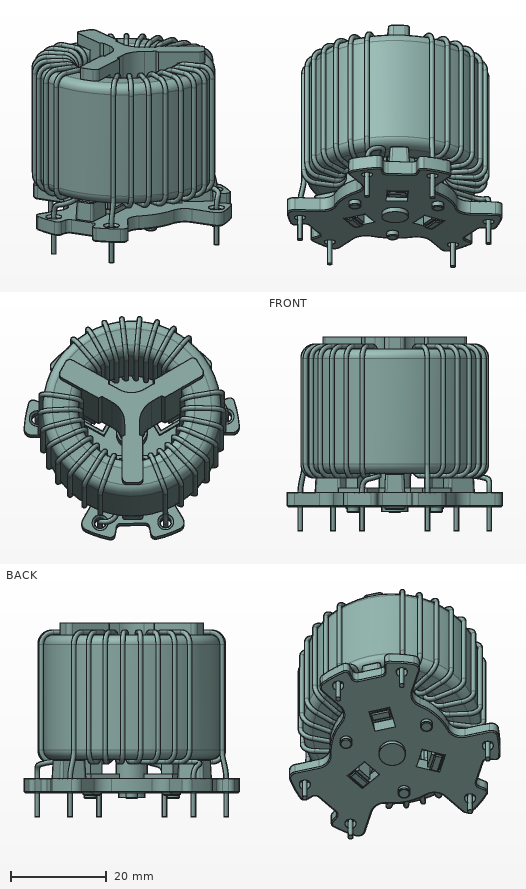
import cadquery as cq
import math

ARM_ANGLES = (30, 150, 270)
WINDING_ANGLES = (90, 210, 330)

core_od = 37.2
core_id = 22.35
core_bottom = 7.0
core_top = 33.0
core_fillet = 2.0

wire_d = 1.0
wire_gap = 0.01
turns = 8
turn_pitch = 11.2
lead_radius = 20.0
lead_offset = 40.0
lead_tip = -5.0
lead_bend_z = 3.0
exit_fraction = 0.75
exit_knee_radius = 19.8
exit_knee_angle = 45.0
exit_knee_z = 5.95

plate_t = 3.0
plate_chamfer = 0.25
hub_radius = 13.0
arm_edge = 19.0
tab_radius = 22.5
tab_half_angle = 10.0
tab_winding_corner_r = 1.5
tab_arm_corner_r = 1.0
winding_side_r = 3.0
arm_side_r = 1.0
lead_hole_d = 2.3
lead_sink_d = 3.3
lead_sink_angle = 90.0
foot_d = 2.5
foot_h = 1.15
foot_chamfer = 0.2
foot_radius = 10.0

rim_h = 1.0
rim_start = 4.8
rim_end = 11.7
rim_width = 6.6
rim_wall = 0.62
rim_end_wall = 0.35
slot_draft = 6.5
support_start = 12.05
support_end = 18.2
support_width = 4.2
support_draft = 2.5
support_edge_r = 0.5
support_top_chamfer = 0.2
collar_d = 6.5

divider_top = 35.5
web_half = 1.525
arm_half = 2.18
arm_end = 16.5
arm_corner_r = 1.0
step_start = 6.3
step_end = 6.75
blade_end = 10.8
hub_fillet = 5.2
post_d = 5.5
post_out = 1.0
leg_start = 8.05
leg_width = 3.2
hook_start = 8.7
hook_end = 10.5
hook_width = 4.1
hook_depth = 0.55
hook_chamfer = 0.25


def polar(radius, angle, z=0.0):
    a = math.radians(angle)
    return cq.Vector(radius * math.cos(a), radius * math.sin(a), z)


def block(r_start, r_end, width, z_bottom, z_top):
    """Box along +X from r_start to r_end, centred on the XZ plane."""
    length = r_end - r_start
    return (
        cq.Workplane("XY", origin=(r_start + length / 2, 0, z_bottom))
        .box(length, width, z_top - z_bottom, centered=(True, True, False))
    )


def at_angles(shape, angles):
    """Union of copies of shape turned about the Z axis."""
    copies = cq.Workplane("XY")
    for angle in angles:
        copies = copies.union(shape.rotate((0, 0, 0), (0, 0, 1), angle))
    return copies


def make_core():
    return (
        cq.Workplane("XY", origin=(0, 0, core_bottom))
        .circle(core_od / 2)
        .circle(core_id / 2)
        .extrude(core_top - core_bottom)
        .faces("<Z or >Z")
        .edges()
        .fillet(core_fillet)
    )


def rounded_path(points, radius):
    """Edges of a polyline whose right-angled corners are rounded to the radius."""
    edges = []
    start = points[0]
    for before, corner, after in zip(points, points[1:], points[2:]):
        to_before = (before - corner).normalized()
        to_after = (after - corner).normalized()
        bend_start = corner + to_before * radius
        bend_end = corner + to_after * radius
        centre = bend_start + to_after * radius
        bend_middle = centre + (corner - centre).normalized() * radius
        edges.append(cq.Edge.makeLine(start, bend_start))
        edges.append(cq.Edge.makeThreePointArc(bend_start, bend_middle, bend_end))
        start = bend_end
    edges.append(cq.Edge.makeLine(start, points[-1]))
    return edges


def make_winding(middle_angle):
    """One wire: pin, turns around the core, pin."""
    offset = wire_gap + wire_d / 2
    outer = core_od / 2 + offset
    inner = core_id / 2 - offset
    top = core_top + offset
    bottom = core_bottom - offset
    first_angle = middle_angle - turn_pitch * (turns - 1) / 2
    up = cq.Vector(0, 0, 1)

    corners = [polar(outer, first_angle, core_bottom + core_fillet)]
    for turn in range(turns):
        angle = first_angle + turn * turn_pitch
        if turn > 0:
            corners.append(polar(outer, angle, bottom))
        corners.append(polar(outer, angle, top))
        corners.append(polar(inner, angle, top))
        corners.append(polar(inner, angle, bottom))
    next_outer = polar(outer, first_angle + turns * turn_pitch, bottom)
    last_run = next_outer - corners[-1]
    corners.append(corners[-1] + last_run * exit_fraction)

    start_angle = middle_angle - lead_offset
    end_angle = middle_angle + lead_offset
    start_tip = polar(lead_radius, start_angle, lead_tip)
    start_bend = polar(lead_radius, start_angle, lead_bend_z)
    end_tip = polar(lead_radius, end_angle, lead_tip)
    end_bend = polar(lead_radius, end_angle, lead_bend_z)
    knee = polar(exit_knee_radius, middle_angle + exit_knee_angle, exit_knee_z)

    edges = [cq.Edge.makeLine(start_tip, start_bend)]
    edges.append(cq.Edge.makeSpline([start_bend, corners[0]], tangents=[up, up]))
    edges += rounded_path(corners, core_fillet + offset)
    exit_tangents = [last_run.normalized(), -up]
    edges.append(cq.Edge.makeSpline([corners[-1], knee, end_bend], tangents=exit_tangents))
    edges.append(cq.Edge.makeLine(end_bend, end_tip))

    path = cq.Workplane(cq.Wire.assembleEdges(edges))
    section = cq.Workplane("XY", origin=start_tip.toTuple()).circle(wire_d / 2)
    return section.sweep(path)


def tab_sector(tab_angle):
    """Wedge of the tab from the core axis to the tab rim."""
    first = polar(tab_radius, tab_angle - tab_half_angle)
    middle = polar(tab_radius, tab_angle)
    last = polar(tab_radius, tab_angle + tab_half_angle)
    return (
        cq.Workplane("XY")
        .lineTo(first.x, first.y)
        .threePointArc((middle.x, middle.y), (last.x, last.y))
        .close()
        .extrude(plate_t)
    )


def vertical_edges_near(shape, points):
    """Vertical edges of the shape that stand on the given plan points."""
    tolerance = 0.01
    found = []
    for edge in shape.edges("|Z").vals():
        centre = edge.Center()
        for point in points:
            if math.hypot(centre.x - point.x, centre.y - point.y) < tolerance:
                found.append(edge)
    return shape.newObject(found)


def make_plate():
    tab_angles = [a + side * lead_offset for a in WINDING_ANGLES for side in (-1, 1)]
    arm_edge_half = arm_edge * math.tan(math.radians(tab_half_angle))
    arm_wedge = (
        cq.Workplane("XY")
        .polyline([(0, 0), (arm_edge, -arm_edge_half), (arm_edge, arm_edge_half)])
        .close()
        .extrude(plate_t)
    )
    plate = cq.Workplane("XY").circle(hub_radius).extrude(plate_t)
    for tab_angle in tab_angles:
        plate = plate.union(tab_sector(tab_angle))
    plate = plate.union(at_angles(arm_wedge, ARM_ANGLES)).clean()

    near_side = lead_offset - tab_half_angle
    far_side = lead_offset + tab_half_angle
    winding_rim_corners = [polar(tab_radius, a + s * near_side) for a in WINDING_ANGLES for s in (-1, 1)]
    arm_rim_corners = [polar(tab_radius, a + s * far_side) for a in WINDING_ANGLES for s in (-1, 1)]
    arm_corner_radius = math.hypot(arm_edge, arm_edge_half)
    arm_corners = [polar(arm_corner_radius, a + s * tab_half_angle) for a in ARM_ANGLES for s in (-1, 1)]
    hub_corners = [polar(hub_radius, a + s * near_side) for a in WINDING_ANGLES for s in (-1, 1)]
    plate = vertical_edges_near(plate, winding_rim_corners).fillet(tab_winding_corner_r)
    plate = vertical_edges_near(plate, arm_rim_corners).fillet(tab_arm_corner_r)
    plate = vertical_edges_near(plate, arm_corners).fillet(arm_side_r)
    plate = vertical_edges_near(plate, hub_corners).fillet(winding_side_r)
    plate = plate.faces("<Z").chamfer(plate_chamfer)

    holes = [polar(lead_radius, a).toTuple()[:2] for a in tab_angles]
    return (
        plate.faces(">Z")
        .workplane(origin=(0, 0, 0))
        .pushPoints(holes)
        .cskHole(lead_hole_d, lead_sink_d, lead_sink_angle)
    )


def make_base():
    rim_top = plate_t + rim_h
    rim = block(rim_start, rim_end, rim_width, plate_t, rim_top)
    slot_start = rim_start + rim_wall
    slot_end = rim_end - rim_end_wall
    slot = (
        cq.Workplane("XY", origin=((slot_start + slot_end) / 2, 0, rim_top))
        .rect(slot_end - slot_start, rim_width - 2 * rim_wall)
        .extrude(-rim_top, taper=slot_draft)
    )
    support = (
        cq.Workplane("XY", origin=((support_start + support_end) / 2, 0, plate_t))
        .rect(support_end - support_start, support_width)
        .extrude(core_bottom - plate_t, taper=support_draft)
        .edges("not #Z")
        .fillet(support_edge_r)
        .faces(">Z")
        .chamfer(support_top_chamfer)
    )
    foot = (
        cq.Workplane("XY", origin=(foot_radius, 0, 0))
        .circle(foot_d / 2)
        .extrude(-foot_h)
        .faces("<Z")
        .chamfer(foot_chamfer)
    )
    collar = cq.Workplane("XY", origin=(0, 0, plate_t)).circle(collar_d / 2).extrude(core_bottom - plate_t)
    post_hole = cq.Workplane("XY").circle(post_d / 2).extrude(core_bottom)
    base = make_plate().union(at_angles(rim.union(support), ARM_ANGLES))
    base = base.union(at_angles(foot, WINDING_ANGLES)).union(collar)
    return base.cut(at_angles(slot, ARM_ANGLES)).cut(post_hole)


def make_divider():
    web_bottom = core_bottom
    web = block(0, step_end, 2 * web_half, web_bottom, divider_top)
    arm_outline = [
        (step_start, web_half),
        (step_end, arm_half),
        (blade_end, arm_half),
        (blade_end, -arm_half),
        (step_end, -arm_half),
        (step_start, -web_half),
    ]
    blade = (
        cq.Workplane("XY", origin=(0, 0, web_bottom))
        .polyline(arm_outline)
        .close()
        .extrude(divider_top - web_bottom)
    )
    arm = (
        block(step_end, arm_end, 2 * arm_half, core_top, divider_top)
        .edges("|Z and >X")
        .fillet(arm_corner_r)
    )
    leg = block(leg_start, blade_end, leg_width, 0, web_bottom)
    hook = (
        block(hook_start, hook_end, hook_width, -hook_depth, 0)
        .faces("<Z")
        .chamfer(hook_chamfer)
    )
    limb = web.union(blade).union(arm).union(leg).union(hook)
    divider = at_angles(limb, ARM_ANGLES)

    inner_corner = web_half / math.sin(math.radians(60))
    hub_corners = [polar(inner_corner, a) for a in WINDING_ANGLES]
    divider = vertical_edges_near(divider, hub_corners).fillet(hub_fillet)
    post = (
        cq.Workplane("XY", origin=(0, 0, -post_out))
        .circle(post_d / 2)
        .extrude(core_bottom + post_out)
    )
    return divider.union(post)


core = make_core()
base = make_base()
divider = make_divider()
windings = [make_winding(angle) for angle in WINDING_ANGLES]

result = cq.Compound.makeCompound(
    [base.val(), core.val(), divider.val(), *[winding.val() for winding in windings]]
)